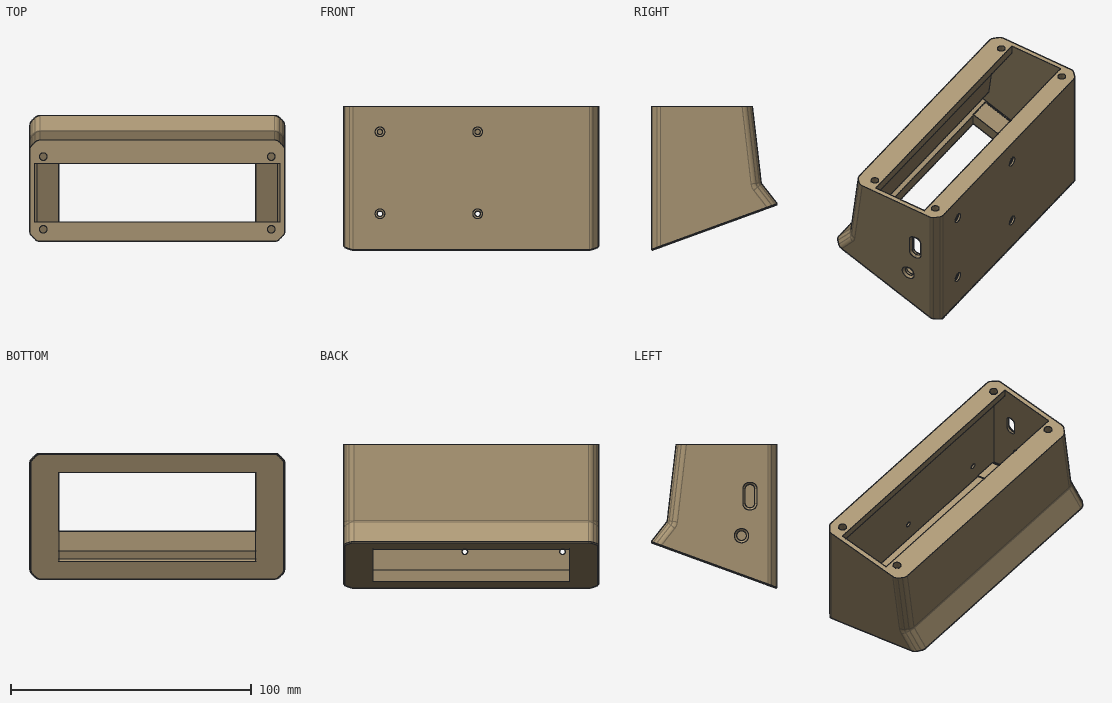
import cadquery as cq
import math

length = 106.0
front_height = 60.0
top_depth = 42.1
knee_y = 45.8
knee_z = -32.0
toe_y = 52.7
floor_slope = 20.0
knee_radius = 1.0
corner_chamfer = 3.1
front_corner_radius = 2.0
back_corner_radius = 3.0
bottom_chamfer = 0.5

wall = 2.0
lip_thickness = 4.0
floor_thickness = 4.6
mouth_front_y = 8.1
mouth_back_y = 32.3
window_half_length = 40.9
window_back_y = 44.9
pad_gap = 1.0
pad_height = 0.5

lid_hole_diameter = 3.2
lid_hole_x = 47.4
lid_hole_rows = (5.0, 35.2)
mount_hole_diameter = 2.2
mount_bore_diameter = 4.0
mount_bore_depth = 1.0
mount_hole_columns = (-38.0, 2.6)
mount_hole_rows = (-10.6, -44.6)
side_chamfer = 1.0
flare_angle = 45.0
slot_y = 11.3
slot_z = -21.5
slot_width = 3.9
slot_height = 9.5
slot_corner_radius = 1.7
jack_y = 14.8
jack_z = -38.0
jack_diameter = 4.0

tolerance = 0.001

slope_rise = math.tan(math.radians(floor_slope))
inner_length = length - 2 * wall
sharp_profile = [
    (0, 0),
    (0, -front_height),
    (toe_y, -front_height + toe_y * slope_rise),
    (knee_y, knee_z),
    (top_depth, 0),
]


def extrude_along_x(profile, total_length):
    """Closed YZ profile extruded symmetrically about X = 0."""
    sketch = cq.Workplane("YZ").polyline(profile).close()
    return sketch.extrude(total_length / 2, both=True)


def floor_z(y, height=0.0):
    """Height of a plane parallel to the sloped bottom, offset upwards from it."""
    return -front_height + y * slope_rise + height / math.cos(math.radians(floor_slope))


def sloped_block(half_x, center_x, y_range, bottom, top):
    """Block whose bottom and top run parallel to the sloped bottom."""
    y_front, y_back = y_range
    profile = [
        (y_front, floor_z(y_front, bottom)),
        (y_back, floor_z(y_back, bottom)),
        (y_back, floor_z(y_back, top)),
        (y_front, floor_z(y_front, top)),
    ]
    return extrude_along_x(profile, 2 * half_x).translate((center_x, 0, 0))


def on_bottom(point):
    return abs(point.z - floor_z(point.y)) < tolerance


def bottom_edges(body):
    """Edges that lie in the sloped bottom face."""
    return [e for e in body.edges().vals() if on_bottom(e.startPoint()) and on_bottom(e.endPoint())]


def corner_edges(body):
    """Edges running along the front and back corners, at constant X."""
    found = []
    for edge in body.edges().vals():
        start, end = edge.startPoint(), edge.endPoint()
        constant_x = abs(start.x - end.x) < tolerance
        in_top = abs(start.z) + abs(end.z) < tolerance
        in_bottom = on_bottom(start) and on_bottom(end)
        if constant_x and not in_top and not in_bottom:
            found.append(edge)
    return found


def outer_body():
    body = extrude_along_x(sharp_profile, length)
    body = body.edges(cq.NearestToPointSelector((0, knee_y, knee_z))).fillet(knee_radius)
    body = body.newObject(corner_edges(body)).chamfer(corner_chamfer)

    middle_y = top_depth / 2
    front = [e for e in corner_edges(body) if e.Center().y < middle_y]
    body = body.newObject(front).fillet(front_corner_radius)
    back = [e for e in corner_edges(body) if e.Center().y > middle_y]
    body = body.newObject(back).fillet(back_corner_radius)

    return body.newObject(bottom_edges(body)).chamfer(bottom_chamfer)


def cavity():
    """Room between the lip and the floor, with walls of even thickness."""
    inner_profile = cq.Workplane("YZ").polyline(sharp_profile).close().offset2D(-wall, "intersection")
    inner = inner_profile.extrude(inner_length / 2, both=True)
    above_floor = sloped_block(length, 0, (0, toe_y), floor_thickness, front_height)
    lip = cq.Workplane("XY").box(2 * length, 2 * toe_y, 2 * lip_thickness)
    return inner.intersect(above_floor).cut(lip)


def mouth():
    """Opening through the lip at the top."""
    width = mouth_back_y - mouth_front_y
    return (
        cq.Workplane("XY")
        .center(0, (mouth_front_y + mouth_back_y) / 2)
        .rect(inner_length, width)
        .extrude(-lip_thickness - wall)
    )


def window():
    """Opening through the floor, level with the front of the mouth."""
    return sloped_block(
        window_half_length, 0, (mouth_front_y, window_back_y), -wall, floor_thickness + wall
    )


def floor_pads():
    """Shallow raised pads on the floor at both ends of the window."""
    outer_x = inner_length / 2 - pad_gap
    half_x = (outer_x - window_half_length) / 2
    center_x = (outer_x + window_half_length) / 2
    pads = cq.Workplane("XY")
    for side in (-1, 1):
        pad = sloped_block(
            half_x,
            side * center_x,
            (wall, window_back_y),
            floor_thickness - wall,
            floor_thickness + pad_height,
        )
        pads = pads.union(pad)
    return pads


def lid_holes():
    """Four screw holes through the lip."""
    points = [(side * lid_hole_x, y) for side in (-1, 1) for y in lid_hole_rows]
    return (
        cq.Workplane("XY").pushPoints(points).circle(lid_hole_diameter / 2).extrude(-lip_thickness)
    )


def mount_holes():
    """Four counterbored holes through the front wall."""
    points = [(x, z) for x in mount_hole_columns for z in mount_hole_rows]
    front = cq.Workplane("XZ").pushPoints(points)
    holes = front.circle(mount_hole_diameter / 2).extrude(-wall)
    bores = front.circle(mount_bore_diameter / 2).extrude(-mount_bore_depth)
    return holes.union(bores)


def rounded_rectangle(width, height, radius):
    return cq.Sketch().rect(width, height).vertices().fillet(radius)


def left_wall_openings():
    """Flared slot and round hole through the wall on the -X side."""
    outside = cq.Workplane("YZ", origin=(-length / 2, 0, 0))
    slot_outline = rounded_rectangle(slot_width, slot_height, slot_corner_radius)
    slot_mouth_outline = rounded_rectangle(
        slot_width + 2 * side_chamfer,
        slot_height + 2 * side_chamfer,
        slot_corner_radius + side_chamfer,
    )
    slot = outside.center(slot_y, slot_z)
    jack = outside.center(jack_y, jack_z)
    jack_radius = jack_diameter / 2
    return (
        slot.placeSketch(slot_outline).extrude(wall)
        .union(slot.placeSketch(slot_mouth_outline).extrude(side_chamfer, taper=flare_angle))
        .union(jack.circle(jack_radius).extrude(wall))
        .union(jack.circle(jack_radius + side_chamfer).extrude(side_chamfer, taper=flare_angle))
    )


result = (
    outer_body()
    .cut(cavity())
    .cut(mouth())
    .union(floor_pads())
    .cut(window())
    .cut(lid_holes())
    .cut(mount_holes())
    .cut(left_wall_openings())
)